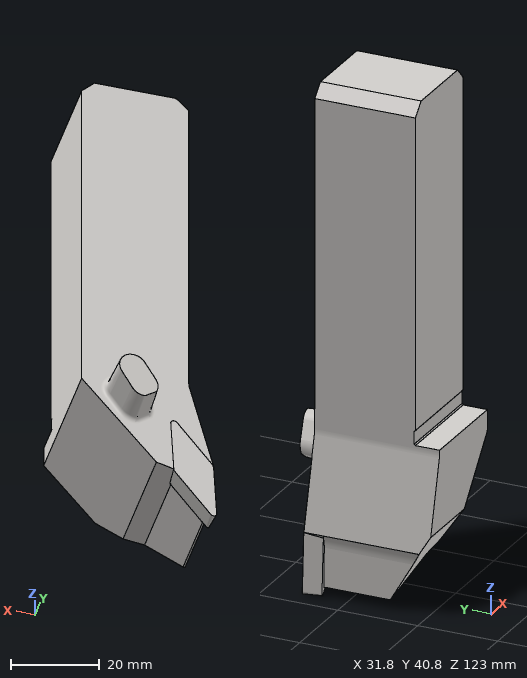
import cadquery as cq
import math

overall_length = 123.0
shank_size = 25.2
shank_chamfer = 3.0
head_depth = 31.25
tip_overhang = 6.55

ledge_z = 39.1
left_slope_top_z = 37.7
left_slope_bottom = (-5.75, 15.2)
left_relief_top = (-4.9, 11.9)
nose_left = (-5.2, 2.3)
nose_right = (-4.7, 2.3)
seat_step_inner = (2.8, 11.6)
seat_step_outer = (7.65, 12.9)
right_slope_top_z = 33.8
left_relief_radius = 6.8
left_blend_radius = 5.0

groove_top_z = 42.8
groove_depth = 0.3

front_slope_top_z = 19.4
front_slope_angle = 30.0

insert_edge = 16.6
insert_angle = 35.0
insert_thickness = 4.76
insert_relief = 5.0
insert_nose_radius = 0.8
insert_lead = 3.0

nozzle_radius = 3.85
nozzle_upper_center = (15.65, 32.0)
nozzle_lower_center = (12.95, 28.15)
nozzle_outlet_distance = 3.4
nozzle_outlet_rounding = 0.6
nozzle_height = 9.5
nozzle_draft = 3.5
nozzle_top_slope = 7.5
nozzle_root_fillet = 1.2


def polar(length, angle_from_z):
    """XZ offset of the given length, at an angle from +Z toward +X."""
    angle = math.radians(angle_from_z)
    return length * math.sin(angle), length * math.cos(angle)


def make_shank():
    shank = (
        cq.Workplane("XY", origin=(0, 0, ledge_z))
        .rect(shank_size, -shank_size, centered=False)
        .extrude(overall_length - ledge_z)
    )
    shank = shank.faces(">Z").edges("|Y").chamfer(shank_chamfer)
    groove = (
        cq.Workplane("YZ")
        .polyline([
            (-shank_size, ledge_z),
            (-shank_size + groove_depth, ledge_z + groove_depth),
            (-shank_size + groove_depth, groove_top_z - groove_depth),
            (-shank_size, groove_top_z),
        ])
        .close()
        .extrude(shank_size)
    )
    return shank.cut(groove)


def make_head():
    head = (
        cq.Workplane("XZ")
        .moveTo(0, ledge_z)
        .lineTo(0, left_slope_top_z)
        .lineTo(*left_slope_bottom)
        .radiusArc(left_relief_top, left_relief_radius)
        .lineTo(*nose_left)
        .lineTo(*nose_right)
        .lineTo(*seat_step_inner)
        .lineTo(*seat_step_outer)
        .lineTo(shank_size, right_slope_top_z)
        .lineTo(shank_size, ledge_z)
        .close()
        .extrude(head_depth)
    )
    slope_run = front_slope_top_z * math.tan(math.radians(front_slope_angle))
    front_wedge = (
        cq.Workplane("YZ", origin=(-tip_overhang, 0, 0))
        .polyline([
            (-head_depth, front_slope_top_z),
            (-head_depth + slope_run, 0),
            (-head_depth, 0),
        ])
        .close()
        .extrude(tip_overhang + shank_size)
    )
    return head.cut(front_wedge)


def make_nozzle():
    """Drafted obround nozzle on the +Y face, aimed at the tip, with a flat outlet and sloped end."""
    dx = nozzle_upper_center[0] - nozzle_lower_center[0]
    dz = nozzle_upper_center[1] - nozzle_lower_center[1]
    spacing = math.hypot(dx, dz)
    center_x = (nozzle_upper_center[0] + nozzle_lower_center[0]) / 2
    center_z = (nozzle_upper_center[1] + nozzle_lower_center[1]) / 2

    base = cq.Plane(
        origin=(center_x, 0, center_z),
        xDir=(dx, 0, dz),
        normal=(0, 1, 0),
    )
    nozzle = (
        cq.Workplane(base)
        .slot2D(spacing + 2 * nozzle_radius, 2 * nozzle_radius)
        .extrude(nozzle_height, taper=nozzle_draft)
    )
    draft_shrink = nozzle_height * math.tan(math.radians(nozzle_draft))
    half_length = spacing / 2 + nozzle_radius
    high_end = half_length - draft_shrink
    drop = (high_end + half_length) * math.tan(math.radians(nozzle_top_slope))
    outlet_x = -spacing / 2 - nozzle_outlet_distance

    section = cq.Plane(origin=base.origin, xDir=base.xDir, normal=-base.yDir)
    sloped_end = [
        (high_end, nozzle_height),
        (-half_length, nozzle_height - drop),
        (-half_length, nozzle_height),
    ]
    outlet = [
        (outlet_x, 0),
        (outlet_x + draft_shrink, nozzle_height),
        (-half_length, nozzle_height),
        (-half_length, 0),
    ]
    for cut_outline in (sloped_end, outlet):
        cutter = cq.Workplane(section).polyline(cut_outline).close().extrude(nozzle_radius, both=True)
        nozzle = nozzle.cut(cutter)
    outlet_middle = base.toWorldCoords((outlet_x + draft_shrink / 2, 0, nozzle_height / 2)).toTuple()
    outlet_face = nozzle.faces(cq.selectors.NearestToPointSelector(outlet_middle))
    return outlet_face.edges("not #Y").fillet(nozzle_outlet_rounding)


def make_insert():
    """Rhombic plate hanging below the rake face, narrowing away from it."""
    radius = insert_nose_radius
    half_point = math.radians(insert_angle / 2)
    center_edge = insert_edge - radius / math.tan(half_point) - radius * math.tan(half_point)
    nose_x, nose_z = radius - tip_overhang, radius
    side_x, side_z = polar(center_edge, insert_lead)
    front_x, front_z = polar(center_edge, insert_lead + insert_angle)
    return (
        cq.Workplane("XZ")
        .polyline([
            (nose_x, nose_z),
            (nose_x + side_x, nose_z + side_z),
            (nose_x + side_x + front_x, nose_z + side_z + front_z),
            (nose_x + front_x, nose_z + front_z),
        ])
        .close()
        .offset2D(radius)
        .extrude(insert_thickness, taper=insert_relief)
    )


def blend_holder(body):
    """Round the nozzle root and blend the left shank face into the slanted head face."""
    lower_x, lower_z = nozzle_lower_center
    upper_x, upper_z = nozzle_upper_center
    root_zone = cq.selectors.BoxSelector(
        (lower_x - nozzle_radius, -nozzle_root_fillet, lower_z - nozzle_radius),
        (upper_x + nozzle_radius, nozzle_root_fillet, upper_z + nozzle_radius),
    )
    left_bend = cq.selectors.NearestToPointSelector((0, -head_depth / 2, left_slope_top_z))
    body = body.edges(root_zone).fillet(nozzle_root_fillet)
    return body.edges(left_bend).fillet(left_blend_radius)


insert = make_insert()
holder = make_shank().union(make_head()).union(make_nozzle())
holder = blend_holder(holder).cut(insert)

result = cq.Compound.makeCompound([holder.val(), insert.val()])